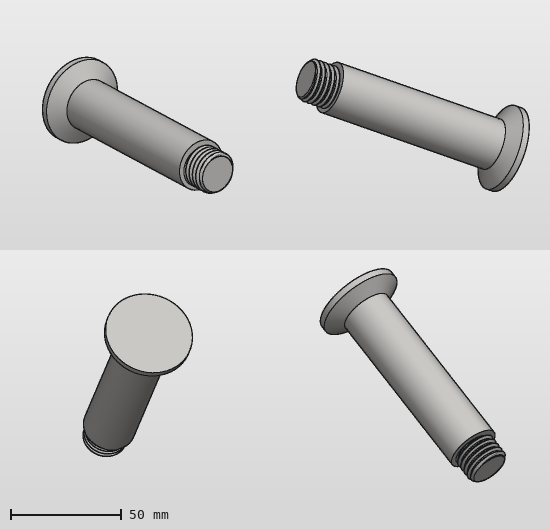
import cadquery as cq
import math

overall_length = 105.7
thread_length = 12.7
shoulder_x = overall_length - thread_length

head_diameter = 40.0
shank_diameter = 24.0
head_rim_width = 3.2
cone_side_angle = 60.0
head_radius = head_diameter / 2
shank_radius = shank_diameter / 2
cone_length = (head_radius - shank_radius) / math.tan(math.radians(cone_side_angle))
cone_end_x = head_rim_width + cone_length

thread_diameter = 20.0
pitch = 2.5
thread_radius = thread_diameter / 2
flank_half_angle = math.radians(30)
sharp_height = pitch / (2 * math.tan(flank_half_angle))
crest_flat = pitch / 8
root_flat = pitch / 4
thread_depth = sharp_height * 5 / 8
root_radius = thread_radius - thread_depth
end_chamfer = 1.5

cutter_clearance = 0.2
hidden_turns = 2
stud_start_x = shoulder_x - pitch
seam_angle = -40.0


def make_head_and_shank():
    """Revolve the solid head, cone and plain shank about the X axis."""
    return (
        cq.Workplane("XZ")
        .lineTo(0, head_radius)
        .lineTo(head_rim_width, head_radius)
        .lineTo(cone_end_x, shank_radius)
        .lineTo(shoulder_x, shank_radius)
        .lineTo(shoulder_x, 0)
        .close()
        .revolve(360, (0, 0, 0), (1, 0, 0))
    )


def make_thread_groove():
    """Sweep the groove section along a helix about the X axis that meets the tip at +Z."""
    quarter_turn = 0.25
    turns_behind_tip = math.floor(thread_length / pitch) + hidden_turns + quarter_turn
    start_x = overall_length - turns_behind_tip * pitch
    sweep_length = (turns_behind_tip + hidden_turns) * pitch
    outer_radius = thread_radius + cutter_clearance
    half_root = root_flat / 2
    half_mouth = (pitch - crest_flat) / 2 + cutter_clearance * math.tan(flank_half_angle)

    helix = cq.Wire.makeHelix(pitch, sweep_length, root_radius)
    groove = (
        cq.Workplane("XZ")
        .moveTo(root_radius, -half_root)
        .lineTo(outer_radius, -half_mouth)
        .lineTo(outer_radius, half_mouth)
        .lineTo(root_radius, half_root)
        .close()
        .sweep(cq.Workplane(obj=helix), isFrenet=True)
    )
    thread_frame = cq.Plane(origin=(start_x, 0, 0), xDir=(0, 1, 0), normal=(1, 0, 0))
    return cq.Workplane(obj=groove.val().moved(cq.Location(thread_frame)))


def make_tip_chamfer_cutter():
    """Revolve the triangular ring that bevels the tip of the stud."""
    bevel_reach = end_chamfer + cutter_clearance
    return (
        cq.Workplane("XY")
        .moveTo(overall_length - bevel_reach, thread_radius + cutter_clearance)
        .lineTo(overall_length + cutter_clearance, thread_radius + cutter_clearance)
        .lineTo(overall_length + cutter_clearance, thread_radius - bevel_reach)
        .close()
        .revolve(360, (0, 0, 0), (1, 0, 0))
    )


def make_threaded_stud():
    """Cut the groove into a stud that begins inside the shank, then bevel its tip."""
    stud = (
        cq.Workplane("YZ", origin=(stud_start_x, 0, 0))
        .circle(thread_radius)
        .extrude(overall_length - stud_start_x)
        .rotate((0, 0, 0), (1, 0, 0), seam_angle)
    )
    return stud.cut(make_thread_groove()).cut(make_tip_chamfer_cutter())


result = make_head_and_shank().union(make_threaded_stud())